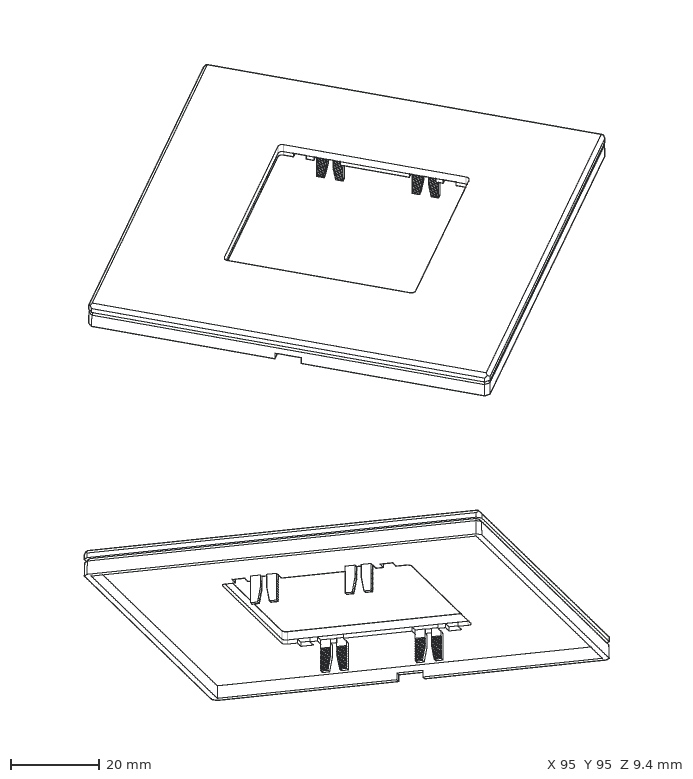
import cadquery as cq

plate_side = 95.0
overall_height = 9.4
frame_bottom = -6.0

window_side = 45.2
window_corner_radius = 1.0

cover_thickness = 2.0
cover_corner_chamfer = 1.0
cover_top_chamfer = 0.9

frame_draft = 1.0
frame_corner_chamfer = 1.0
frame_top_chamfer = 0.8
rim_wall = 1.5
web_thickness = 1.0

notch_width = 6.2
notch_height = 1.6

leg_pair_offset = 11.3
leg_pair_width = 6.2
leg_gap_root = 1.5
leg_gap_tip = 2.8
leg_inner_face = 24.9
leg_thickness = 1.4
leg_tip = -overall_height

tooth_pitch = 0.4
tooth_depth = tooth_pitch / 2
tooth_count = 14

slot_offset = 17.7
slot_width = 3.0

web_top = -cover_thickness
web_bottom = web_top - web_thickness
window_half = window_side / 2


def square_block(side, bottom, top, draft=0):
    return cq.Workplane("XY").workplane(offset=bottom).rect(side, side).extrude(top - bottom, taper=draft)


def window_cutter():
    return square_block(window_side, leg_tip, 0).edges("|Z").fillet(window_corner_radius)


def make_cover():
    plate = square_block(plate_side, -cover_thickness, 0).faces(">Z").edges().chamfer(cover_top_chamfer)
    trimmed_corners = square_block(plate_side, -cover_thickness, 0).edges("|Z").chamfer(cover_corner_chamfer)
    return plate.intersect(trimmed_corners).cut(window_cutter())


def make_leg(side):
    """One leg of a pair centred on X = 0, on the +Y side; side is -1 or 1."""
    outer_x = side * leg_pair_width / 2
    root_x = side * leg_gap_root / 2
    tip_x = side * leg_gap_tip / 2
    outline = [
        (outer_x, web_top),
        (root_x, web_top),
        (root_x, frame_bottom),
        (tip_x, leg_tip),
        (outer_x, leg_tip),
    ]
    leg = cq.Workplane("XZ").workplane(offset=-leg_inner_face).polyline(outline).close()
    return leg.extrude(-leg_thickness).cut(tooth_grooves())


def tooth_grooves():
    grooves = cq.Workplane("YZ").workplane(offset=-leg_pair_width / 2)
    for index in range(tooth_count):
        middle = leg_tip + index * tooth_pitch
        grooves = grooves.polyline([
            (leg_inner_face, middle - tooth_pitch / 2),
            (leg_inner_face + tooth_depth, middle),
            (leg_inner_face, middle + tooth_pitch / 2),
        ]).close()
    return grooves.extrude(leg_pair_width)


def web_notch(middle_x, width):
    """Cutter for a notch running from the +Y window edge back to the legs."""
    depth = leg_inner_face + tooth_depth - window_half
    notch = cq.Workplane("XY").box(width, depth, web_thickness, centered=(True, False, False))
    return notch.translate((middle_x, window_half, web_bottom))


def make_frame():
    frame = square_block(plate_side, frame_bottom, web_top, frame_draft)
    frame = frame.edges("not (|X or |Y)").chamfer(frame_corner_chamfer)
    frame = frame.faces(">Z").edges().chamfer(frame_top_chamfer)
    frame = frame.cut(square_block(plate_side - 2 * rim_wall, frame_bottom, web_bottom))
    frame = frame.cut(window_cutter())

    cable_notch = cq.Workplane("XY").box(notch_width, 2 * rim_wall, notch_height, centered=(True, True, False))
    frame = frame.cut(cable_notch.translate((0, -plate_side / 2, frame_bottom)))

    for end in (-1, 1):
        pair_x = end * leg_pair_offset
        for notch in (web_notch(pair_x, leg_pair_width), web_notch(end * slot_offset, slot_width)):
            frame = frame.cut(notch).cut(notch.mirror("XZ"))
        for side in (-1, 1):
            leg = make_leg(side).translate((pair_x, 0, 0))
            frame = frame.union(leg).union(leg.mirror("XZ"))
    return frame


cover = make_cover()
frame = make_frame()
result = cq.Compound.makeCompound([cover.val(), frame.val()])